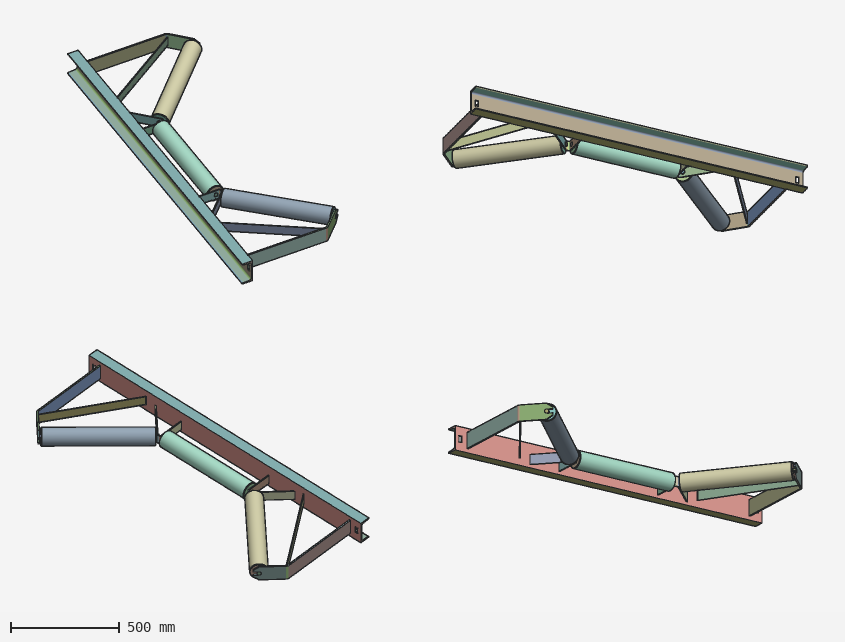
import cadquery as cq
import math


BEAM_LENGTH = 1700.0
BEAM_HEIGHT = 120.0
BEAM_DEPTH = 55.0
WEB_THICKNESS = 7.0
FLANGE_TIP_THICKNESS = 7.0
FLANGE_ROOT_THICKNESS = 10.0
ROOT_RADIUS = 8.0
TIP_RADIUS = 5.0
MOUNT_SLOT_WIDTH = 15.0
MOUNT_SLOT_HEIGHT = 30.0
MOUNT_SLOT_X = 821.0

ROLLER_LENGTH = 530.0
ROLLER_RADIUS = 45.0
ROLLER_BEVEL = 3.0
SHAFT_RADIUS = 10.0
SHAFT_PROTRUSION = 5.0
TROUGH_ANGLE = 45.0
FORWARD_TILT = 2.0
CENTRE_ROLLER_Y = 117.0
WING_ROLLER_X = -495.0
WING_ROLLER_Y = 323.0

OUTER_STRIP = 8.0
OUTER_BEND_RADIUS = 8.0
OUTER_HEIGHT = 80.0
OUTER_FACE_X = -785.0
OUTER_BEND_Y = 427.0
OUTER_TIP_Y = 540.0
TIP_CHAMFER_ALONG = 29.0
TIP_CHAMFER_HEIGHT = 20.0

INNER_STRIP = 6.0
INNER_BEND_RADIUS = 3.0
INNER_HEIGHT = 50.0
INNER_FACE_X = -270.0
INNER_TOP_Y = 143.0
INNER_FOOT_X = -437.0

BRACE_THICKNESS = 5.0
BRACE_HEIGHT = 50.0
BRACE_FOOT_X = -490.0
BRACE_TOP_X = -774.0
BRACE_TOP_Y = 430.0

MITRE = math.tan(math.radians(TROUGH_ANGLE / 2))
DIAGONAL = math.sqrt(0.5)
TIP_X = OUTER_FACE_X + OUTER_TIP_Y - OUTER_BEND_Y
CENTRE_SHAFT_LENGTH = -2 * (INNER_FACE_X - INNER_STRIP)

WING_OUT = ((OUTER_BEND_Y - OUTER_FACE_X) - (WING_ROLLER_Y - WING_ROLLER_X)) * DIAGONAL
WING_IN = ((WING_ROLLER_Y - WING_ROLLER_X) + INNER_FOOT_X) * DIAGONAL + INNER_STRIP

SLOPE = math.sin(math.radians(FORWARD_TILT))
WING_ROLLER_Z = -WING_OUT * SLOPE
CENTRE_ROLLER_Z = WING_ROLLER_Z - WING_IN * SLOPE


def mirrored(shape):
    return shape.mirror("YZ")


def upright(points, height):
    """A plan outline extruded symmetrically about Z = 0."""
    return cq.Workplane("XY").polyline(points).close().extrude(height / 2, both=True)


def round_edge(shape, direction, middle, radius):
    """Fillet the edge along the given direction whose middle is nearest to a point."""
    return shape.edges(direction).edges(cq.selectors.NearestToPointSelector(middle)).fillet(radius)


def round_bend(strip, inside, outside, radius, thickness):
    """Round one bend of an upright strip, given its inside and outside corner points."""
    strip = round_edge(strip, "|Z", (*inside, 0), radius)
    return round_edge(strip, "|Z", (*outside, 0), radius + thickness)


def along_wing(shape):
    """Move a shape built along X at the origin onto the left wing roller's axis."""
    return (
        shape.rotate((0, 0, 0), (0, 1, 0), FORWARD_TILT)
        .rotate((0, 0, 0), (0, 0, 1), -TROUGH_ANGLE)
        .translate((WING_ROLLER_X, WING_ROLLER_Y, WING_ROLLER_Z))
    )


def rod(radius, start, end):
    return cq.Workplane("YZ").workplane(offset=start).circle(radius).extrude(end - start)


def make_beam():
    half = BEAM_HEIGHT / 2
    profile = [
        (0, -half),
        (-BEAM_DEPTH, -half),
        (-BEAM_DEPTH, -half + FLANGE_TIP_THICKNESS),
        (-WEB_THICKNESS, -half + FLANGE_ROOT_THICKNESS),
        (-WEB_THICKNESS, half - FLANGE_ROOT_THICKNESS),
        (-BEAM_DEPTH, half - FLANGE_TIP_THICKNESS),
        (-BEAM_DEPTH, half),
        (0, half),
    ]
    beam = cq.Workplane("YZ").polyline(profile).close().extrude(BEAM_LENGTH / 2, both=True)
    root_z = half - FLANGE_ROOT_THICKNESS
    tip_z = half - FLANGE_TIP_THICKNESS
    for side in (-1, 1):
        beam = round_edge(beam, "|X", (0, -WEB_THICKNESS, side * root_z), ROOT_RADIUS)
        beam = round_edge(beam, "|X", (0, -BEAM_DEPTH, side * tip_z), TIP_RADIUS)
    slots = (
        cq.Workplane("XZ")
        .pushPoints([(-MOUNT_SLOT_X, 0), (MOUNT_SLOT_X, 0)])
        .rect(MOUNT_SLOT_WIDTH, MOUNT_SLOT_HEIGHT)
        .extrude(WEB_THICKNESS)
    )
    return beam.cut(slots)


def make_roller(shaft_start, shaft_end):
    drum = rod(ROLLER_RADIUS, -ROLLER_LENGTH / 2, ROLLER_LENGTH / 2)
    drum = drum.faces("<X or >X").chamfer(ROLLER_BEVEL)
    return drum.union(rod(SHAFT_RADIUS, shaft_start, shaft_end))


def make_outer_bracket():
    step = OUTER_STRIP * DIAGONAL
    inner_x = OUTER_FACE_X + OUTER_STRIP
    outside = (OUTER_FACE_X, OUTER_BEND_Y)
    inside = (inner_x, OUTER_BEND_Y - OUTER_STRIP * MITRE)
    strip = upright(
        [
            (OUTER_FACE_X, 0),
            outside,
            (TIP_X, OUTER_TIP_Y),
            (TIP_X + step, OUTER_TIP_Y - step),
            inside,
            (inner_x, 0),
        ],
        OUTER_HEIGHT,
    )
    strip = round_bend(strip, inside, outside, OUTER_BEND_RADIUS, OUTER_STRIP)
    leg = cq.Workplane(cq.Plane(origin=(TIP_X, OUTER_TIP_Y, 0), xDir=(1, 1, 0), normal=(1, -1, 0)))
    for side in (-1, 1):
        edge = side * OUTER_HEIGHT / 2
        corner = [
            (0, edge),
            (-TIP_CHAMFER_ALONG, edge),
            (0, edge - side * TIP_CHAMFER_HEIGHT),
        ]
        strip = strip.cut(leg.polyline(corner).close().extrude(OUTER_STRIP))
    seat = rod(SHAFT_RADIUS, -ROLLER_LENGTH, 0)
    opening = (
        cq.Workplane("XY")
        .box(ROLLER_LENGTH, OUTER_HEIGHT, 2 * SHAFT_RADIUS, centered=(False, False, True))
        .translate((-ROLLER_LENGTH, 0, 0))
    )
    return strip.cut(along_wing(seat.union(opening)))


def make_inner_bracket():
    inset = INNER_STRIP * MITRE
    rise = math.sqrt(2) * INNER_STRIP
    under_y = INNER_TOP_Y - INNER_STRIP
    post_outside = (INNER_FACE_X, INNER_TOP_Y)
    post_inside = (INNER_FACE_X - INNER_STRIP, under_y)
    leg_outside = (INNER_FOOT_X + INNER_TOP_Y, INNER_TOP_Y)
    leg_inside = (INNER_FOOT_X + INNER_TOP_Y + inset, under_y)
    strip = upright(
        [
            (INNER_FACE_X, 0),
            post_outside,
            leg_outside,
            (INNER_FOOT_X, 0),
            (INNER_FOOT_X + rise, 0),
            leg_inside,
            post_inside,
            (INNER_FACE_X - INNER_STRIP, 0),
        ],
        INNER_HEIGHT,
    )
    strip = round_bend(strip, post_inside, post_outside, INNER_BEND_RADIUS, INNER_STRIP)
    strip = round_bend(strip, leg_inside, leg_outside, INNER_BEND_RADIUS, INNER_STRIP)
    return strip.translate((0, 0, CENTRE_ROLLER_Z))


def make_brace():
    """Flat bar whose upper end lies inside the outer strip's bend, to be trimmed to its face."""
    run = BRACE_FOOT_X - BRACE_TOP_X
    length = math.hypot(run, BRACE_TOP_Y)
    foot_width = BRACE_THICKNESS * length / BRACE_TOP_Y
    end_dx = BRACE_THICKNESS * BRACE_TOP_Y / length
    end_dy = BRACE_THICKNESS * run / length
    return upright(
        [
            (BRACE_TOP_X, BRACE_TOP_Y),
            (BRACE_FOOT_X, 0),
            (BRACE_FOOT_X - foot_width, 0),
            (BRACE_TOP_X - end_dx, BRACE_TOP_Y - end_dy),
        ],
        BRACE_HEIGHT,
    )


beam = make_beam()

half_shaft = CENTRE_SHAFT_LENGTH / 2
centre_roller = make_roller(-half_shaft, half_shaft).translate((0, CENTRE_ROLLER_Y, CENTRE_ROLLER_Z))
wing_roller = along_wing(make_roller(-WING_OUT, WING_IN + SHAFT_PROTRUSION))

outer_bracket = make_outer_bracket()
inner_bracket = make_inner_bracket().cut(centre_roller).cut(wing_roller)
brace = make_brace().cut(outer_bracket)

left_side = [wing_roller, outer_bracket, inner_bracket, brace]
right_side = [mirrored(body) for body in left_side]

result = cq.Compound.makeCompound(
    [beam.val(), centre_roller.val()] + [body.val() for body in left_side + right_side]
)